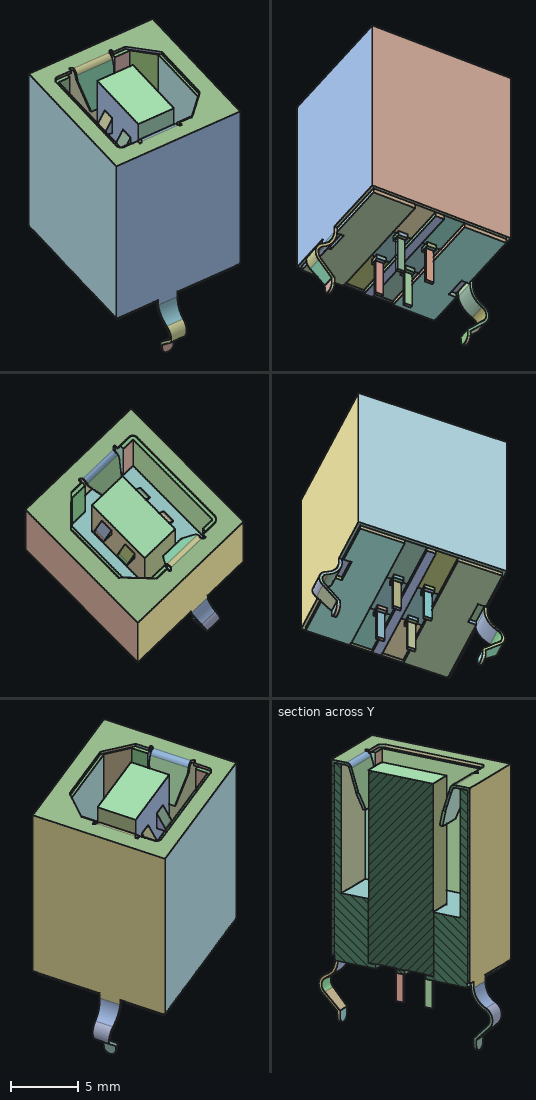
import cadquery as cq
import math


SHELL_WIDTH = 12.0
SHELL_DEPTH = 11.0
SHELL_HEIGHT = 15.58
TOTAL_HEIGHT = 21.3
SHEET = 0.25

OPENING_HALF_WIDTH = 4.55
OPENING_BACK = 4.1
OPENING_FRONT = -4.28
OPENING_CHAMFER = 1.95
OPENING_CORNER_RADIUS = 0.4

SPRING_BACK = 0.79
SPRING_FRONT = -2.38
SPRING_FOLD_X = 4.7
SPRING_BEND_RADIUS = 0.5
SPRING_TILT = 18
SPRING_LENGTH = 3.4
SPRING_TAPER_START = 0.55
SPRING_TIP_WIDTH = 1.9
RELIEF_WIDTH = 0.28
RELIEF_OVERRUN = 0.15
RELIEF_RADIUS = 0.21

LEG_Y = -0.92
LEG_LENGTH = TOTAL_HEIGHT - SHELL_HEIGHT
LEG_WIDTH = 1.72
LEG_TIP_WIDTH = 0.98
LEG_STRAIGHT = 0.47
LEG_FLARE_RADIUS = 1.64
LEG_FLARE_ANGLE = 65
LEG_HALF_SPAN = 7.52
LEG_RETURN_ANGLE = 45
LEG_FOOT_Z = -4.75

CAVITY_HALF_WIDTH = 4.24
CAVITY_BACK = 3.87
CAVITY_FRONT = -3.98
CAVITY_CHAMFER = 1.53
CAVITY_FLOOR_Z = 5.1
POCKET_HALF_WIDTH = 5.1
POCKET_BACK = 1.0
POCKET_FRONT = -2.98
STANDOFF = 0.38
CHANNEL_INNER_X = 0.36
CHANNEL_OUTER_X = 2.15
LEG_NOTCH_FRONT = -2.07
LEG_NOTCH_BACK = -0.21
LEG_NOTCH_DEPTH = 0.64

TONGUE_HALF_WIDTH = 2.8
TONGUE_BACK = 1.68
TONGUE_FRONT = -1.5
CONTACT_PITCH = 2.5
CONTACT_WIDTH = 1.05
CONTACT_TOP_DROP = 2.45
CONTACT_RAMP_REACH = 0.68
CONTACT_RAMP_HEIGHT = 1.17
CONTACT_TIP_REACH = 0.83
CONTACT_TIP_HEIGHT = 0.32
PIN_Y = 1.58
PIN_WIDTH = 0.64
PIN_THICKNESS = 0.23
PIN_BOTTOM_Z = -3.45
COLLAR_WIDTH = 0.79

HALF_SHELL_WIDTH = SHELL_WIDTH / 2
HOUSING_HALF_WIDTH = HALF_SHELL_WIDTH - SHEET
HOUSING_TOP_Z = SHELL_HEIGHT - SHEET
CONTACT_X = CONTACT_PITCH / 2


def box(x_range, y_range, z_range):
    """Axis-aligned box between the two ends of each range."""
    size = [end - start for start, end in (x_range, y_range, z_range)]
    return cq.Workplane("XY").box(*size, centered=False).translate((x_range[0], y_range[0], z_range[0]))


def plug_prism(half_width, front, back, chamfer, z_range):
    """Prism with the plug outline: a rectangle with its two back corners cut at 45 degrees."""
    prism = box((-half_width, half_width), (front, back), z_range)
    return prism.edges("|Z and >Y").chamfer(chamfer)


def both_sides(right_part):
    """A part on the +X side together with its mirror image on the -X side."""
    return right_part.union(right_part.mirror("YZ"))


def on_arc(centre, radius, angle):
    """Point of an XZ arc, with the angle in degrees from +X towards +Z."""
    turn = math.radians(angle)
    return (centre[0] + radius * math.cos(turn), centre[1] + radius * math.sin(turn))


def xz_plate(profile, y_range):
    """Closed XZ profile extruded along Y."""
    start, end = y_range
    return profile.close().extrude(start - end).translate((0, start, 0))


def spring():
    """Right spring: the sheet rolls over the edge of the opening and leans into the cavity."""
    centre = (SPRING_FOLD_X, SHELL_HEIGHT - SPRING_BEND_RADIUS)
    bend_end = 180 - SPRING_TILT
    bend_middle = (90 + bend_end) / 2
    inner_radius = SPRING_BEND_RADIUS - SHEET
    tilt = math.radians(SPRING_TILT)

    def down_slope(point, length):
        return (point[0] - length * math.sin(tilt), point[1] - length * math.cos(tilt))

    outer_end = on_arc(centre, SPRING_BEND_RADIUS, bend_end)
    inner_end = on_arc(centre, inner_radius, bend_end)
    taper_start_z = down_slope(outer_end, SPRING_TAPER_START)[1]
    outer_tip = down_slope(outer_end, SPRING_LENGTH)
    inner_tip = down_slope(inner_end, SPRING_LENGTH)
    root_x = SPRING_FOLD_X + RELIEF_OVERRUN

    profile = (
        cq.Workplane("XZ")
        .moveTo(root_x, SHELL_HEIGHT)
        .lineTo(SPRING_FOLD_X, SHELL_HEIGHT)
        .threePointArc(on_arc(centre, SPRING_BEND_RADIUS, bend_middle), outer_end)
        .lineTo(*outer_tip)
        .lineTo(*inner_tip)
        .lineTo(*inner_end)
        .threePointArc(on_arc(centre, inner_radius, bend_middle), (SPRING_FOLD_X, HOUSING_TOP_Z))
        .lineTo(root_x, HOUSING_TOP_Z)
    )
    strip = xz_plate(profile, (SPRING_FRONT, SPRING_BACK))

    middle_y = (SPRING_FRONT + SPRING_BACK) / 2
    half_tip = SPRING_TIP_WIDTH / 2
    tip_z = inner_tip[1]
    outline = (
        cq.Workplane("YZ")
        .polyline([
            (SPRING_FRONT, SHELL_HEIGHT),
            (SPRING_FRONT, taper_start_z),
            (middle_y - half_tip, tip_z),
            (middle_y + half_tip, tip_z),
            (SPRING_BACK, taper_start_z),
            (SPRING_BACK, SHELL_HEIGHT),
        ])
        .close()
        .extrude(HALF_SHELL_WIDTH)
    )
    return strip.intersect(outline)


def spring_cutout():
    """Slot in the shell top that frees the right spring, with a relief notch at each end."""
    notch_x = SPRING_FOLD_X + RELIEF_OVERRUN
    z_range = (HOUSING_TOP_Z, SHELL_HEIGHT)
    back = box((0, notch_x), (SPRING_BACK, SPRING_BACK + RELIEF_WIDTH), z_range)
    front = box((0, notch_x), (SPRING_FRONT - RELIEF_WIDTH, SPRING_FRONT), z_range)
    back = back.edges("|Z and >X and <Y").fillet(RELIEF_RADIUS)
    front = front.edges("|Z and >X and >Y").fillet(RELIEF_RADIUS)
    middle = box((0, SPRING_FOLD_X), (SPRING_FRONT, SPRING_BACK), z_range)
    return middle.union(back).union(front)


def leg():
    """Right leg: flares outward, turns back at 45 degrees and ends in a straight rounded tip."""
    flare_inner = LEG_FLARE_RADIUS + SHEET
    flare_centre = (HALF_SHELL_WIDTH + LEG_FLARE_RADIUS, -LEG_STRAIGHT)
    flare_end = 180 + LEG_FLARE_ANGLE
    flare_middle = (180 + flare_end) / 2
    outer_flare_end = on_arc(flare_centre, LEG_FLARE_RADIUS, flare_end)
    flare_cos = math.cos(math.radians(LEG_FLARE_ANGLE))
    flare_sin = math.sin(math.radians(LEG_FLARE_ANGLE))

    knee_radius = (LEG_HALF_SPAN - outer_flare_end[0]) / (1 - flare_cos)
    knee_inner = knee_radius - SHEET
    knee_centre = (LEG_HALF_SPAN - knee_radius, outer_flare_end[1] - knee_radius * flare_sin)
    outer_knee_end = on_arc(knee_centre, knee_radius, -LEG_RETURN_ANGLE)

    tip_outer_x = outer_knee_end[0] - (outer_knee_end[1] - LEG_FOOT_Z)
    tip_inner_x = tip_outer_x - SHEET
    mitre = SHEET * math.tan(math.radians(LEG_RETURN_ANGLE / 2))

    profile = (
        cq.Workplane("XZ")
        .moveTo(HALF_SHELL_WIDTH, 0)
        .lineTo(HALF_SHELL_WIDTH, -LEG_STRAIGHT)
        .threePointArc(on_arc(flare_centre, LEG_FLARE_RADIUS, flare_middle), outer_flare_end)
        .threePointArc((LEG_HALF_SPAN, knee_centre[1]), outer_knee_end)
        .lineTo(tip_outer_x, LEG_FOOT_Z)
        .lineTo(tip_outer_x, -LEG_LENGTH)
        .lineTo(tip_inner_x, -LEG_LENGTH)
        .lineTo(tip_inner_x, LEG_FOOT_Z + mitre)
        .lineTo(*on_arc(knee_centre, knee_inner, -LEG_RETURN_ANGLE))
        .threePointArc(
            (knee_centre[0] + knee_inner, knee_centre[1]),
            on_arc(knee_centre, knee_inner, LEG_FLARE_ANGLE),
        )
        .threePointArc(on_arc(flare_centre, flare_inner, flare_middle), (HOUSING_HALF_WIDTH, -LEG_STRAIGHT))
        .lineTo(HOUSING_HALF_WIDTH, 0)
    )
    half_width = LEG_WIDTH / 2
    half_tip = LEG_TIP_WIDTH / 2
    strip = xz_plate(profile, (LEG_Y - half_width, LEG_Y + half_width))

    round_start_z = half_tip - LEG_LENGTH
    outline = (
        cq.Workplane("YZ")
        .moveTo(LEG_Y - half_width, 0)
        .lineTo(LEG_Y - half_width, -LEG_STRAIGHT)
        .lineTo(LEG_Y - half_tip, round_start_z)
        .threePointArc((LEG_Y, -LEG_LENGTH), (LEG_Y + half_tip, round_start_z))
        .lineTo(LEG_Y + half_width, -LEG_STRAIGHT)
        .lineTo(LEG_Y + half_width, 0)
        .close()
        .extrude(LEG_HALF_SPAN)
    )
    return strip.intersect(outline)


def housing_block(bottom_z):
    """Solid block that fills the inside of the shell."""
    half_depth = SHELL_DEPTH / 2 - SHEET
    return box(
        (-HOUSING_HALF_WIDTH, HOUSING_HALF_WIDTH), (-half_depth, half_depth), (bottom_z, HOUSING_TOP_Z)
    )


def make_shell():
    """Sheet-metal shell, open at the bottom, with two springs and two legs."""
    half_depth = SHELL_DEPTH / 2
    shell = box((-HALF_SHELL_WIDTH, HALF_SHELL_WIDTH), (-half_depth, half_depth), (0, SHELL_HEIGHT))
    shell = shell.cut(housing_block(0))
    opening = plug_prism(
        OPENING_HALF_WIDTH, OPENING_FRONT, OPENING_BACK, OPENING_CHAMFER, (HOUSING_TOP_Z, SHELL_HEIGHT)
    )
    opening = opening.edges("|Z and <Y").fillet(OPENING_CORNER_RADIUS)
    shell = shell.cut(opening).cut(both_sides(spring_cutout()))
    return shell.union(both_sides(spring())).union(both_sides(leg()))


def make_housing():
    """Insulator with the plug cavity, spring pockets and standoff feet."""
    housing = housing_block(-STANDOFF)

    cavity_z = (CAVITY_FLOOR_Z, HOUSING_TOP_Z)
    cavity = plug_prism(CAVITY_HALF_WIDTH, CAVITY_FRONT, CAVITY_BACK, CAVITY_CHAMFER, cavity_z)
    pockets = box((-POCKET_HALF_WIDTH, POCKET_HALF_WIDTH), (POCKET_FRONT, POCKET_BACK), cavity_z)
    housing = housing.cut(cavity).cut(pockets)

    foot_z = (-STANDOFF, 0)
    channel = box((CHANNEL_INNER_X, CHANNEL_OUTER_X), (-SHELL_DEPTH / 2, SHELL_DEPTH / 2), foot_z)
    notch = box(
        (HOUSING_HALF_WIDTH - LEG_NOTCH_DEPTH, HOUSING_HALF_WIDTH), (LEG_NOTCH_FRONT, LEG_NOTCH_BACK), foot_z
    )
    housing = housing.cut(both_sides(channel)).cut(both_sides(notch))

    return housing.cut(tongue())


def tongue():
    """Rectangular tongue, standing through the floor of the housing."""
    return box(
        (-TONGUE_HALF_WIDTH, TONGUE_HALF_WIDTH), (TONGUE_FRONT, TONGUE_BACK), (0, HOUSING_TOP_Z)
    )


def contact(face_y, outward):
    """Right contact bulging from a tongue face; outward is +1 towards +Y and -1 towards -Y."""
    top_z = SHELL_HEIGHT - CONTACT_TOP_DROP
    ramp_z = top_z - CONTACT_RAMP_HEIGHT
    tip_z = ramp_z - CONTACT_TIP_HEIGHT
    return (
        cq.Workplane("YZ")
        .polyline([
            (face_y, top_z),
            (face_y + outward * CONTACT_RAMP_REACH, ramp_z),
            (face_y + outward * CONTACT_TIP_REACH, tip_z),
            (face_y, tip_z),
        ])
        .close()
        .extrude(CONTACT_WIDTH / 2, both=True)
        .translate((CONTACT_X, 0, 0))
    )


def pin(y):
    """Right board pin with a square collar under the tongue."""
    collar = box(
        (CONTACT_X - COLLAR_WIDTH / 2, CONTACT_X + COLLAR_WIDTH / 2),
        (y - COLLAR_WIDTH / 2, y + COLLAR_WIDTH / 2),
        (-STANDOFF, 0),
    )
    blade = box(
        (CONTACT_X - PIN_WIDTH / 2, CONTACT_X + PIN_WIDTH / 2),
        (y - PIN_THICKNESS / 2, y + PIN_THICKNESS / 2),
        (PIN_BOTTOM_Z, -STANDOFF),
    )
    return collar.union(blade)


def make_terminal_block():
    """Tongue with four contacts and four board pins."""
    block = tongue()
    for face_y, outward in ((TONGUE_BACK, 1), (TONGUE_FRONT, -1)):
        block = block.union(both_sides(contact(face_y, outward)))
        block = block.union(both_sides(pin(outward * PIN_Y)))
    return block


shell = make_shell()
housing = make_housing()
terminal_block = make_terminal_block()

result = cq.Compound.makeCompound([body.solids().val() for body in (shell, housing, terminal_block)])